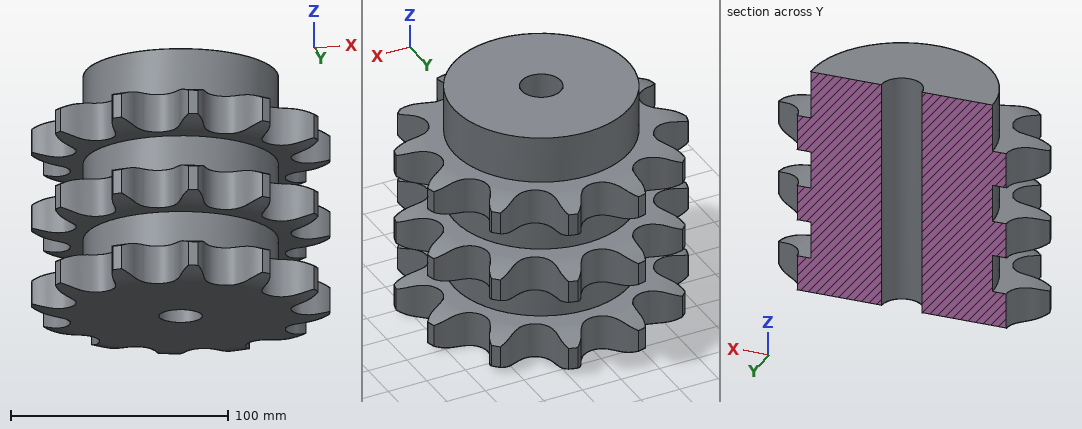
import cadquery as cq
import math

tooth_count = 12
row_count = 3
row_pitch = 36.5
row_thickness = 18.0
hub_diameter = 90.0
bore_diameter = 20.0
total_height = 115.0

tip_diameter = 137.8
flat_face_diameter = 108.9
tip_face_drop = 3.4

pitch_diameter = 122.6
seat_radius = 9.5
working_radius = 24.8
straight_length = 1.9
topping_radius = 16.1
seat_end_angle = 40.0
working_sweep = 13.3
topping_sweep = 32.0
gap_outer_reach = 6.7


def polar(center, radius, angle):
    """Point at the given distance and angle (degrees) from center."""
    turn = math.radians(angle)
    return (center[0] + radius * math.cos(turn), center[1] + radius * math.sin(turn))


def mirrored(point):
    """Point on the opposite flank of the gap centred on the Y axis."""
    return (-point[0], point[1])


def make_gap():
    """Cutter for one tooth gap, opening along +Y."""
    seat_center = (0, pitch_diameter / 2)
    seat_bottom = polar(seat_center, seat_radius, -90)
    seat_end = polar(seat_center, seat_radius, -seat_end_angle)

    working_center = polar(seat_end, -working_radius, -seat_end_angle)
    working_end_angle = working_sweep - seat_end_angle
    working_mid = polar(working_center, working_radius, working_sweep / 2 - seat_end_angle)
    working_end = polar(working_center, working_radius, working_end_angle)
    straight_end = polar(working_end, straight_length, working_end_angle + 90)

    topping_center = polar(straight_end, topping_radius, working_end_angle)
    topping_start_angle = working_end_angle + 180
    topping_mid = polar(topping_center, topping_radius, topping_start_angle - topping_sweep / 2)
    topping_end = polar(topping_center, topping_radius, topping_start_angle - topping_sweep)
    outer_corner = (topping_end[0], tip_diameter / 2 + gap_outer_reach)

    return (
        cq.Workplane("XY")
        .moveTo(*mirrored(seat_end))
        .threePointArc(seat_bottom, seat_end)
        .threePointArc(working_mid, working_end)
        .lineTo(*straight_end)
        .threePointArc(topping_mid, topping_end)
        .lineTo(*outer_corner)
        .lineTo(*mirrored(outer_corner))
        .lineTo(*mirrored(topping_end))
        .threePointArc(mirrored(topping_mid), mirrored(straight_end))
        .lineTo(*mirrored(working_end))
        .threePointArc(mirrored(working_mid), mirrored(seat_end))
        .close()
        .extrude(row_thickness)
    )


def make_toothed_row():
    """One row of teeth with its lower face on the XY plane."""
    tip_radius = tip_diameter / 2
    flat_radius = flat_face_diameter / 2

    curve_run = tip_radius - flat_radius
    curve_radius = (curve_run**2 + tip_face_drop**2) / (2 * tip_face_drop)
    curve_sweep = math.degrees(math.asin(curve_run / curve_radius))
    lower_mid = polar((flat_radius, curve_radius), curve_radius, curve_sweep / 2 - 90)
    upper_mid = (lower_mid[0], row_thickness - lower_mid[1])

    row = (
        cq.Workplane("XZ")
        .lineTo(flat_radius, 0)
        .threePointArc(lower_mid, (tip_radius, tip_face_drop))
        .lineTo(tip_radius, row_thickness - tip_face_drop)
        .threePointArc(upper_mid, (flat_radius, row_thickness))
        .lineTo(0, row_thickness)
        .close()
        .revolve(360, (0, 0), (0, 1))
    )
    gap = make_gap()
    for index in range(tooth_count):
        row = row.cut(gap.rotate((0, 0, 0), (0, 0, 1), index * 360 / tooth_count))
    return row


def make_sprocket():
    """Hub with evenly spaced toothed rows and a through bore."""
    body = cq.Workplane("XY").circle(hub_diameter / 2).extrude(total_height)
    toothed_row = make_toothed_row()
    for index in range(row_count):
        body = body.union(toothed_row.translate((0, 0, index * row_pitch)))
    bore = cq.Workplane("XY").circle(bore_diameter / 2).extrude(total_height)
    return body.cut(bore)


result = make_sprocket()